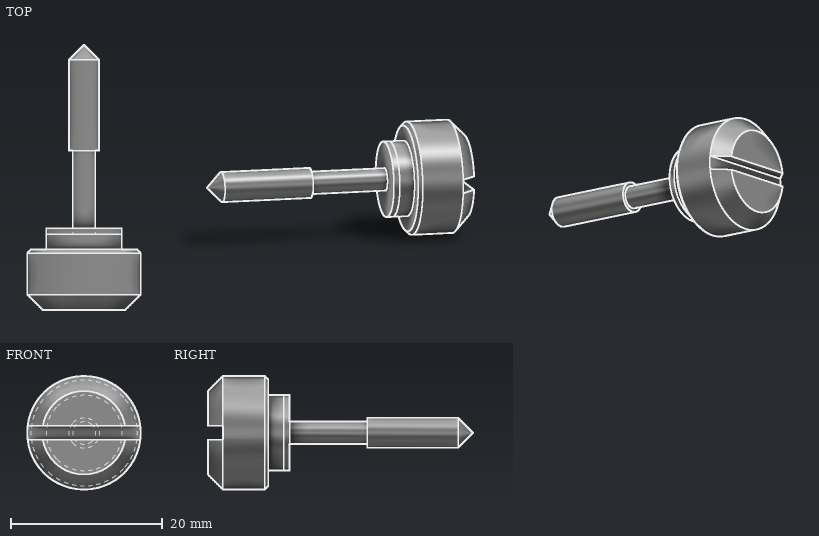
import cadquery as cq


head_radius = 7.5
head_length = 8.0
front_chamfer = 2.0
back_chamfer = 0.5
slot_width = 1.8
slot_depth = 2.0

collar_radius = 5.0
collar_length = 2.0
washer_thickness = 0.8

neck_radius = 1.5
tip_radius = 2.0
tip_length = 14.0
point_length = 2.0
overall_length = 35.0

collar_end = head_length + collar_length
tip_start = overall_length - tip_length
point_start = overall_length - point_length


def make_screw():
    """Revolve the head, collar, neck and pointed tip, then cut the driver slot."""
    body = (
        cq.Workplane("XY")
        .moveTo(0, 0)
        .lineTo(head_radius - front_chamfer, 0)
        .lineTo(head_radius, front_chamfer)
        .lineTo(head_radius, head_length - back_chamfer)
        .lineTo(head_radius - back_chamfer, head_length)
        .lineTo(collar_radius, head_length)
        .lineTo(collar_radius, collar_end)
        .lineTo(neck_radius, collar_end)
        .lineTo(neck_radius, tip_start)
        .lineTo(tip_radius, tip_start)
        .lineTo(tip_radius, point_start)
        .lineTo(0, overall_length)
        .close()
        .revolve(360, (0, 0, 0), (0, 1, 0))
    )
    slot = cq.Workplane("XY").box(
        2 * head_radius, slot_depth, slot_width, centered=(True, False, True)
    )
    return body.cut(slot)


def make_washer():
    """Flat ring around the neck, flush with the collar."""
    return (
        cq.Workplane("XZ", origin=(0, collar_end, 0))
        .circle(collar_radius)
        .circle(neck_radius)
        .extrude(-washer_thickness)
    )


screw = make_screw()
washer = make_washer()

result = cq.Compound.makeCompound([screw.val(), washer.val()])